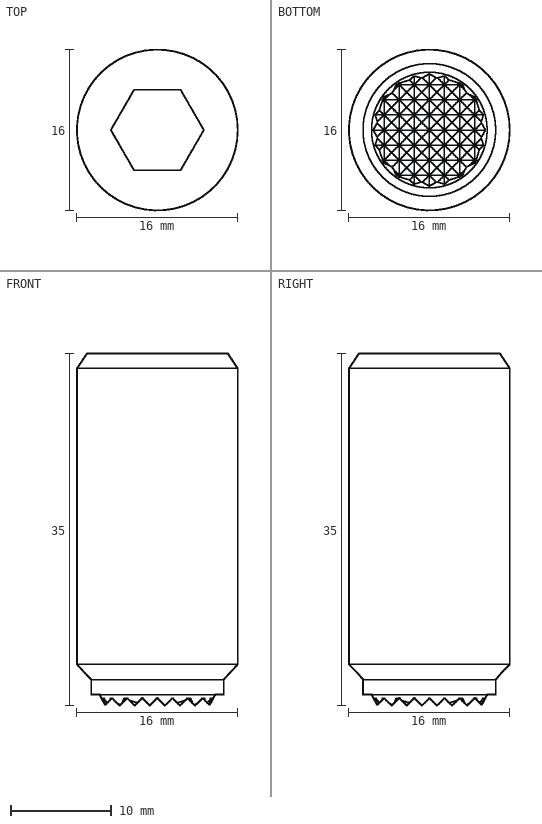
import cadquery as cq
import math

total_length = 35.0
screw_diameter = 16.0
dog_point_diameter = 13.2
dog_point_length = 1.5
lower_chamfer_height = 1.5
upper_chamfer_height = 1.5
upper_chamfer_inset = 1.0
top_edge_radius = 0.15

hex_across_flats = 8.0
hex_depth = 10.0
socket_cone_angle = 120.0

tip_diameter = 11.5
tip_protrusion = 1.1
tip_taper_angle = 27.0
tip_seat_depth = 3.0

serration_pitch = 1.5
serration_depth = serration_pitch / 2
groove_overrun = 1.0

screw_radius = screw_diameter / 2
dog_point_radius = dog_point_diameter / 2
tip_radius = tip_diameter / 2
hex_across_corners = hex_across_flats / math.cos(math.radians(30))
tip_end_radius = tip_radius - tip_protrusion * math.tan(math.radians(tip_taper_angle))

screw_bottom = tip_protrusion
dog_point_top = screw_bottom + dog_point_length
lower_chamfer_top = dog_point_top + lower_chamfer_height
upper_chamfer_bottom = total_length - upper_chamfer_height
tip_top = screw_bottom + tip_seat_depth


def make_blank():
    """Turned screw blank with a chamfered dog point and a slightly rounded top edge."""
    blank = (
        cq.Workplane("XZ")
        .moveTo(0, screw_bottom)
        .lineTo(dog_point_radius, screw_bottom)
        .lineTo(dog_point_radius, dog_point_top)
        .lineTo(screw_radius, lower_chamfer_top)
        .lineTo(screw_radius, upper_chamfer_bottom)
        .lineTo(screw_radius - upper_chamfer_inset, total_length)
        .lineTo(0, total_length)
        .close()
        .revolve(360, (0, 0, 0), (0, 1, 0))
    )
    return blank.faces(">Z").edges().fillet(top_edge_radius)


def make_hex_socket():
    """Hex prism whose lower end is cut to a drill-point cone below the hex depth."""
    corner_radius = hex_across_corners / 2
    cone_height = corner_radius / math.tan(math.radians(socket_cone_angle / 2))
    cone_base = total_length - hex_depth
    prism = (
        cq.Workplane("XY")
        .workplane(offset=cone_base - cone_height)
        .polygon(6, hex_across_corners)
        .extrude(hex_depth + cone_height)
    )
    pointed_drill = (
        cq.Workplane("XZ")
        .moveTo(0, cone_base - cone_height)
        .lineTo(corner_radius, cone_base)
        .lineTo(corner_radius, total_length)
        .lineTo(0, total_length)
        .close()
        .revolve(360, (0, 0, 0), (0, 1, 0))
    )
    return prism.intersect(pointed_drill)


def make_tip_seat():
    """Blind bore that holds the serrated tip."""
    return cq.Workplane("XY").workplane(offset=screw_bottom).circle(tip_radius).extrude(tip_seat_depth)


def make_screw():
    return make_blank().cut(make_hex_socket()).cut(make_tip_seat())


def make_groove(plane, position):
    """V groove across the tip, running along the normal of the given plane."""
    half_width = serration_pitch / 2
    return (
        cq.Workplane(plane)
        .moveTo(position - half_width, 0)
        .lineTo(position, serration_depth)
        .lineTo(position + half_width, 0)
        .close()
        .extrude(tip_radius + groove_overrun, both=True)
    )


def make_serrated_tip():
    """Tapered tip whose end is cut into rows of pyramids by grooves along X and Y."""
    tip = (
        cq.Workplane("XZ")
        .lineTo(tip_end_radius, 0)
        .lineTo(tip_radius, screw_bottom)
        .lineTo(tip_radius, tip_top)
        .lineTo(0, tip_top)
        .close()
        .revolve(360, (0, 0, 0), (0, 1, 0))
    )
    outermost = math.ceil(tip_radius / serration_pitch)
    for index in range(-outermost, outermost + 1):
        position = index * serration_pitch
        for plane in ("XZ", "YZ"):
            tip = tip.cut(make_groove(plane, position))
    return tip


screw = make_screw()
serrated_tip = make_serrated_tip()

result = cq.Compound.makeCompound([screw.val(), serrated_tip.val()])